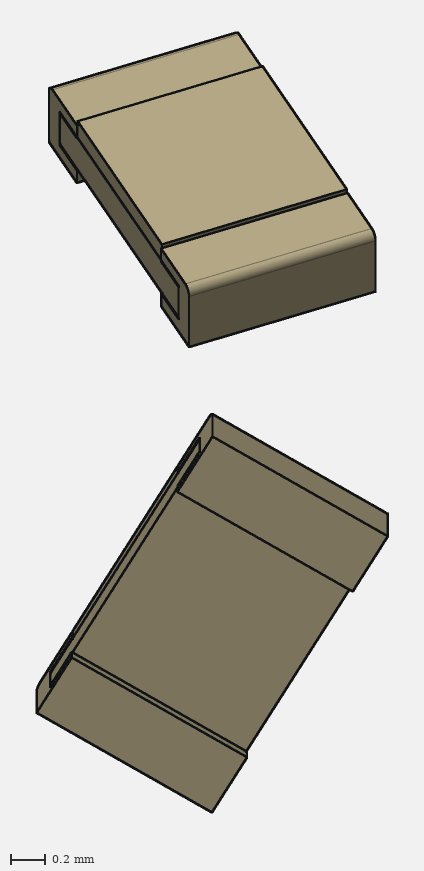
import cadquery as cq

length = 2.0
terminal_width = 1.2
terminal_height = 0.45
coating_top = 0.48

terminal_length = 0.4
end_wall = 0.15
foot_height = 0.1
corner_radius = 0.055

ceramic_width = 1.19
substrate_thickness = 0.25

half_length = length / 2
substrate_length = length - 2 * end_wall
substrate_top = foot_height + substrate_thickness
coating_length = length - 2 * terminal_length
coating_thickness = coating_top - substrate_top


def centred_block(size_x, size_y, size_z, bottom):
    """Block centred on the Z axis, standing on the given height."""
    block = cq.Workplane("XY").box(size_x, size_y, size_z, centered=(True, True, False))
    return block.translate((0, 0, bottom))


def make_substrate():
    """Flat ceramic plate that carries the other bodies."""
    return centred_block(substrate_length, ceramic_width, substrate_thickness, foot_height)


def make_coating():
    """Protective layer on the substrate, filling the gap between the terminals."""
    return centred_block(coating_length, ceramic_width, coating_thickness, substrate_top)


def make_terminal(side):
    """End cap at the -X (side = -1) or +X (side = 1) end, with a rounded top outer edge."""
    centre_x = side * (half_length - terminal_length / 2)
    cap = cq.Workplane("XY").box(
        terminal_length, terminal_width, terminal_height, centered=(True, True, False)
    )
    outer_face = ">X" if side > 0 else "<X"
    cap = cap.faces(outer_face).edges(">Z").fillet(corner_radius)
    cap = cap.translate((centre_x, 0, 0))

    slot = centred_block(substrate_length, terminal_width, substrate_thickness, foot_height)
    return cap.cut(slot)


substrate = make_substrate()
coating = make_coating()
terminals = [make_terminal(side) for side in (-1, 1)]

result = cq.Compound.makeCompound(
    [substrate.val(), coating.val(), *[terminal.val() for terminal in terminals]]
)